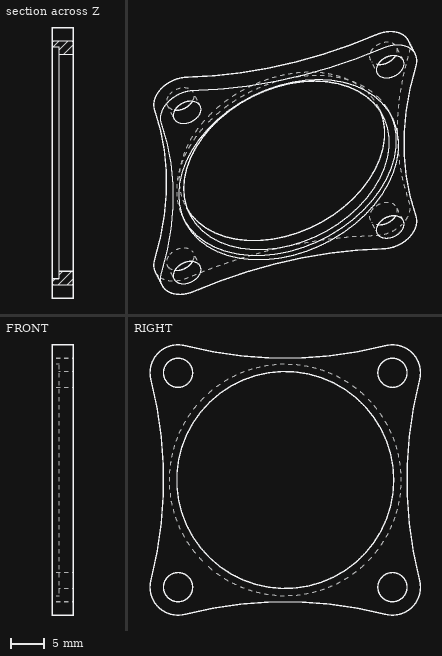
import cadquery as cq
import math

side = 40.25
thickness = 3.2
hole_offset = 15.95
hole_diameter = 4.3
waist = 18.12
bore_diameter = 32.25
recess_diameter = 34.5
recess_depth = 1.0

corner_radius = side / 2 - hole_offset

waist_inset = waist - hole_offset
edge_radius = (hole_offset**2 + waist_inset**2 - corner_radius**2) / (2 * (corner_radius - waist_inset))

tangent_angle = math.asin(hole_offset / (edge_radius + corner_radius))
tangent_across = hole_offset + corner_radius * math.cos(tangent_angle)
tangent_along = hole_offset - corner_radius * math.sin(tangent_angle)
corner_middle = hole_offset + corner_radius / math.sqrt(2)


def quarter_turns(point, turns):
    """Rotate a point about the plate centre by a number of quarter turns."""
    y, z = point
    for _ in range(turns):
        y, z = -z, y
    return y, z


def plate():
    """Square plate with four concave edges and four rounded corners."""
    outline = cq.Workplane("YZ", origin=(-thickness / 2, 0, 0)).moveTo(tangent_across, -tangent_along)
    for turns in range(4):
        edge_middle = quarter_turns((waist, 0), turns)
        edge_end = quarter_turns((tangent_across, tangent_along), turns)
        corner_peak = quarter_turns((corner_middle, corner_middle), turns)
        corner_end = quarter_turns((tangent_along, tangent_across), turns)
        outline = outline.threePointArc(edge_middle, edge_end).threePointArc(corner_peak, corner_end)
    return outline.close().extrude(thickness)


def add_bore(body):
    """Through bore with a shallow round recess in the -X face."""
    return body.faces("<X").workplane(origin=(0, 0, 0)).cboreHole(
        bore_diameter, recess_diameter, recess_depth
    )


def add_corner_holes(body):
    """One through hole in each corner."""
    spacing = 2 * hole_offset
    return (
        body.faces("<X").workplane(origin=(0, 0, 0))
        .rarray(spacing, spacing, 2, 2)
        .hole(hole_diameter)
    )


result = add_corner_holes(add_bore(plate()))